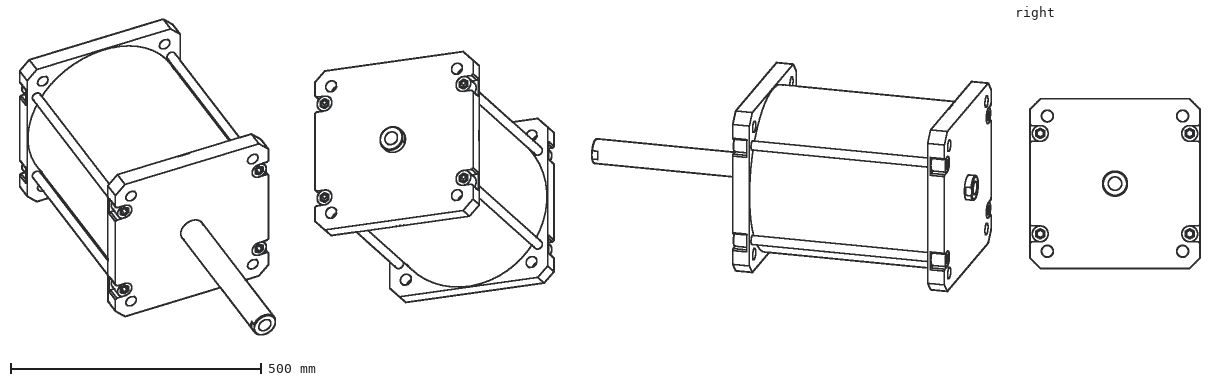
import cadquery as cq
import math


ROD_LENGTH = 790.0
ROD_DIAMETER = 50.0
ROD_TIP_CHAMFER = 1.5
FLAT_LENGTH = 13.0
ACROSS_FLATS = 47.0
THREAD_HOLE_DIAMETER = 27.0
THREAD_HOLE_DEPTH = 47.5
DRILL_POINT_ANGLE = 118.0

PLATE_SIZE = 340.0
PLATE_CORNER_CHAMFER = 21.0
PLATE_THICKNESS = 35.0
REAR_ROD_OVERHANG = 15.0
BARREL_LENGTH = 370.5
BARREL_DIAMETER = 336.5
MOUNTING_HOLE_DIAMETER = 23.0
MOUNTING_HOLE_OFFSET = 135.0

TIE_DIAMETER = 18.0
TIE_OFFSET_Y = 149.0
TIE_OFFSET_Z = 100.0
HEAD_DIAMETER = 31.5
HEAD_LENGTH = 29.0
SOCKET_ACROSS_FLATS = 13.0
SOCKET_DEPTH = 16.0
SOCKET_RECESS_ACROSS_FLATS = 17.0
SOCKET_RECESS_DEPTH = 1.5

POCKET_WIDTH = HEAD_DIAMETER
POCKET_MOUTH_CHAMFER = 3.0

REAR_PLATE_OUTER = REAR_ROD_OVERHANG
REAR_PLATE_INNER = REAR_PLATE_OUTER + PLATE_THICKNESS
FRONT_PLATE_INNER = REAR_PLATE_INNER + BARREL_LENGTH
FRONT_PLATE_OUTER = FRONT_PLATE_INNER + PLATE_THICKNESS

TIE_POSITIONS = [(sy * TIE_OFFSET_Y, sz * TIE_OFFSET_Z) for sy in (1, -1) for sz in (1, -1)]


def section_at(x):
    """Cross-section plane at x: local axes are Y and Z, extrusion goes toward +X."""
    return cq.Workplane("YZ", origin=(x, 0, 0))


def head_pocket(start, side, z):
    """Cutter for one head pocket on the +Y or -Y side: a round seat, a slot and a chamfered mouth."""
    half_width = POCKET_WIDTH / 2
    half_mouth = half_width + POCKET_MOUTH_CHAMFER
    edge = PLATE_SIZE / 2
    return (
        section_at(start)
        .moveTo(side * TIE_OFFSET_Y, z - half_width)
        .lineTo(side * (edge - POCKET_MOUTH_CHAMFER), z - half_width)
        .lineTo(side * edge, z - half_mouth)
        .lineTo(side * edge, z + half_mouth)
        .lineTo(side * (edge - POCKET_MOUTH_CHAMFER), z + half_width)
        .lineTo(side * TIE_OFFSET_Y, z + half_width)
        .threePointArc((side * (TIE_OFFSET_Y - half_width), z), (side * TIE_OFFSET_Y, z - half_width))
        .close()
        .extrude(HEAD_LENGTH)
    )


def make_end_plate(start, pocket_start):
    """Square plate with cut corners, rod bore, mounting holes, tie-rod holes and head pockets."""
    plate = (
        section_at(start)
        .rect(PLATE_SIZE, PLATE_SIZE)
        .extrude(PLATE_THICKNESS)
        .edges("|X")
        .chamfer(PLATE_CORNER_CHAMFER)
    )
    rod_bore = section_at(start).circle(ROD_DIAMETER / 2).extrude(PLATE_THICKNESS)
    mounting_pitch = 2 * MOUNTING_HOLE_OFFSET
    mounting_holes = (
        section_at(start)
        .rect(mounting_pitch, mounting_pitch, forConstruction=True)
        .vertices()
        .circle(MOUNTING_HOLE_DIAMETER / 2)
        .extrude(PLATE_THICKNESS)
    )
    tie_holes = (
        section_at(start)
        .pushPoints(TIE_POSITIONS)
        .circle(TIE_DIAMETER / 2)
        .extrude(PLATE_THICKNESS)
    )
    plate = plate.cut(rod_bore).cut(mounting_holes).cut(tie_holes)
    for y, z in TIE_POSITIONS:
        plate = plate.cut(head_pocket(pocket_start, math.copysign(1, y), z))
    return plate


def make_barrel():
    """Round barrel between the plates, bored for the rod."""
    return (
        section_at(REAR_PLATE_INNER)
        .circle(BARREL_DIAMETER / 2)
        .circle(ROD_DIAMETER / 2)
        .extrude(BARREL_LENGTH)
    )


def make_piston_rod():
    """Rod through the whole cylinder; each end has a chamfer, wrench flats and a drilled thread hole."""
    rod = section_at(0).circle(ROD_DIAMETER / 2).extrude(ROD_LENGTH)
    rod = rod.faces("<X or >X").chamfer(ROD_TIP_CHAMFER)

    hole_radius = THREAD_HOLE_DIAMETER / 2
    drill_point_depth = hole_radius / math.tan(math.radians(DRILL_POINT_ANGLE / 2))
    thread_hole = (
        cq.Workplane("XY")
        .lineTo(0, hole_radius)
        .lineTo(THREAD_HOLE_DEPTH, hole_radius)
        .lineTo(THREAD_HOLE_DEPTH + drill_point_depth, 0)
        .close()
        .revolve(360, (0, 0, 0), (1, 0, 0))
    )
    flat_outside = (
        section_at(0)
        .rect(2 * ROD_DIAMETER, 2 * ROD_DIAMETER)
        .extrude(FLAT_LENGTH)
        .cut(section_at(0).rect(ACROSS_FLATS, 2 * ROD_DIAMETER).extrude(FLAT_LENGTH))
    )

    for cutter in (thread_hole, flat_outside):
        opposite_cutter = cutter.mirror("YZ").translate((ROD_LENGTH, 0, 0))
        rod = rod.cut(cutter).cut(opposite_cutter)
    return rod


def hexagon_prism(start, across_flats, length):
    """Hexagonal prism on the X axis, two corners pointing up and down."""
    corner_diameter = across_flats / math.cos(math.pi / 6)
    return (
        section_at(start)
        .transformed(rotate=(0, 0, 90))
        .polygon(6, corner_diameter)
        .extrude(length)
    )


def make_tie_rod(y, z):
    """Tie rod with a head at each end; each head has a hexagon socket in a shallow hexagon recess."""
    span = FRONT_PLATE_OUTER - REAR_PLATE_OUTER
    tie = section_at(REAR_PLATE_OUTER).circle(TIE_DIAMETER / 2).extrude(span)
    for outer_face, inward in ((REAR_PLATE_OUTER, 1), (FRONT_PLATE_OUTER, -1)):
        head = section_at(outer_face).circle(HEAD_DIAMETER / 2).extrude(inward * HEAD_LENGTH)
        recess = hexagon_prism(outer_face, SOCKET_RECESS_ACROSS_FLATS, inward * SOCKET_RECESS_DEPTH)
        socket = hexagon_prism(outer_face, SOCKET_ACROSS_FLATS, inward * SOCKET_DEPTH)
        tie = tie.union(head).cut(recess).cut(socket)
    return tie.translate((0, y, z))


rear_plate = make_end_plate(REAR_PLATE_OUTER, REAR_PLATE_OUTER)
front_plate = make_end_plate(FRONT_PLATE_INNER, FRONT_PLATE_OUTER - HEAD_LENGTH)
barrel = make_barrel()
piston_rod = make_piston_rod()
tie_rods = [make_tie_rod(y, z) for y, z in TIE_POSITIONS]

result = cq.Compound.makeCompound(
    [
        rear_plate.val(),
        front_plate.val(),
        barrel.val(),
        piston_rod.val(),
        *[tie.val() for tie in tie_rods],
    ]
)